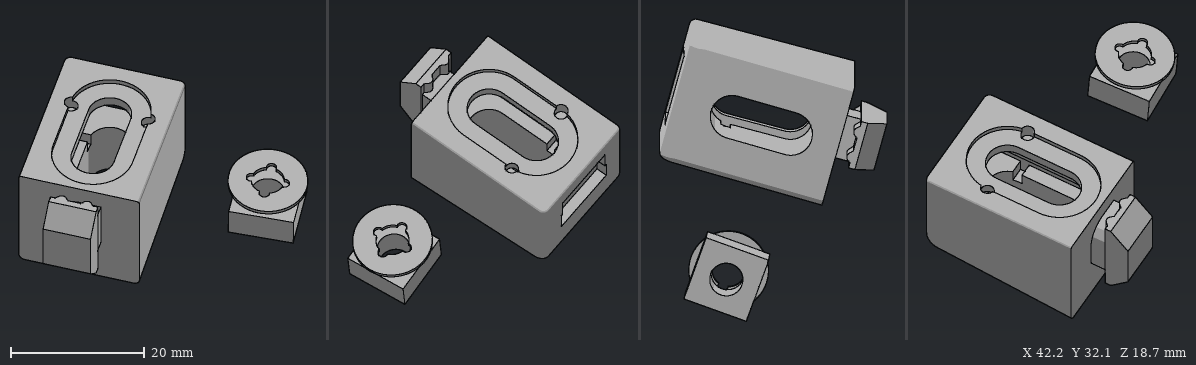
import cadquery as cq
import math


HOUSING_WIDTH = 18.95
HOUSING_LENGTH = 25.5
HOUSING_HEIGHT = 18.55
BOTTOM_SLOPE = 5.0
BACK_BOTTOM_RADIUS = 2.45
SIDE_RADIUS = 1.0
TOP_RADIUS = 0.5

SLOT_CENTRE_Y = 11.98
SLOT_SPAN = 9.02
SLOT_WIDTH = 6.6
RECESS_WIDTH = 12.45
RECESS_DEPTH = 0.8
NOTCH_DIAMETER = 2.05
NOTCH_DEPTH = 2.3
NOTCH_CENTRE_X = 6.05

PLATE_THICKNESS = 1.65
CHANNEL_WIDTH = 10.37
CHANNEL_HEIGHT = 3.65
LOWER_CHANNEL_WIDTH = 10.95
LOWER_CHANNEL_HEIGHT = 1.35
CHANNEL_FRONT_Y = 2.1
FLOOR_BACK_GAP = 1.77
FLOOR_GROOVE_CENTRE_Y = 16.65
FLOOR_GROOVE_WIDTH = 1.5
FLOOR_GROOVE_DEPTH = 2.1

STEM_WIDTH = 6.8
STEM_HEIGHT = 8.0
STEM_TOP_Z = -3.0
HEAD_WIDTH = 7.42
HEAD_HEIGHT = 13.8
HEAD_TOP_Z = -0.13
HEAD_BACK_Y = -2.6
HEAD_FRONT_Y = -6.58
HEAD_CHAMFER = 3.0
RIDGE_CENTRE_X = 2.0
RIDGE_HALF_WIDTH = 1.0
RIDGE_FLANK = 0.5
RIDGE_RISE = 0.7

TILT_X = 2.8
TILT_Y = 1.6
WASHER_TURN = 3.8
WASHER_CENTRE = (26.7, 9.83, -0.5)
WASHER_DIAMETER = 12.0
WASHER_THICKNESS = 0.6
WASHER_HOLE = 4.98
WASHER_NOTCH_COUNT = 4
WASHER_NOTCH_DIAMETER = 1.5
WASHER_NOTCH_RING = 2.55
NUT_TURN = 4.5
NUT_CENTRE = (26.55, 10.1, -5.5)
NUT_SIDE = 10.0
NUT_HEIGHT = 4.98
NUT_HOLE = 4.98


def box(width, y_front, y_back, z_bottom, z_top):
    """Box centred on x = 0 between the given Y and Z limits."""
    return cq.Workplane("XY").box(width, y_back - y_front, z_top - z_bottom).translate(
        (0, (y_front + y_back) / 2, (z_bottom + z_top) / 2)
    )


def slot_cutter(width, z_top, depth):
    """Straight-sided slot along Y with rounded ends, cut down from z_top."""
    return (
        cq.Workplane("XY", origin=(0, SLOT_CENTRE_Y, z_top))
        .slot2D(SLOT_SPAN + width, width, 90)
        .extrude(-depth)
    )


def housing_block():
    """Block with a sloping bottom, rounded everywhere but on the front face."""
    back_height = HOUSING_HEIGHT - HOUSING_LENGTH * math.tan(math.radians(BOTTOM_SLOPE))
    block = (
        cq.Workplane("YZ")
        .polyline([
            (0, 0),
            (HOUSING_LENGTH, 0),
            (HOUSING_LENGTH, -back_height),
            (0, -HOUSING_HEIGHT),
        ])
        .close()
        .extrude(HOUSING_WIDTH / 2, both=True)
    )
    block = block.faces(">Y").edges("<Z").fillet(BACK_BOTTOM_RADIUS)
    block = block.faces("<X or >X").edges("not(<Y or >Z)").fillet(SIDE_RADIUS)
    return block.faces(">Z").edges("not(<Y)").fillet(TOP_RADIUS)


def screw_slot():
    """Slot through the housing, its washer recess and the two round notches."""
    notches = (
        cq.Workplane("XY")
        .pushPoints([(side * NOTCH_CENTRE_X, SLOT_CENTRE_Y + SLOT_SPAN / 2) for side in (-1, 1)])
        .circle(NOTCH_DIAMETER / 2)
        .extrude(-NOTCH_DEPTH)
    )
    through_slot = slot_cutter(SLOT_WIDTH, 0, HOUSING_HEIGHT)
    return through_slot.union(slot_cutter(RECESS_WIDTH, 0, RECESS_DEPTH)).union(notches)


def nut_channel():
    """Stepped channel with a cross groove in its floor."""
    ceiling_z = -RECESS_DEPTH - PLATE_THICKNESS
    step_z = ceiling_z - CHANNEL_HEIGHT
    floor_z = step_z - LOWER_CHANNEL_HEIGHT
    groove_z = floor_z - FLOOR_GROOVE_DEPTH
    groove_front = FLOOR_GROOVE_CENTRE_Y - FLOOR_GROOVE_WIDTH / 2
    groove_back = groove_front + FLOOR_GROOVE_WIDTH
    floor_back = HOUSING_LENGTH - FLOOR_BACK_GAP

    upper = box(CHANNEL_WIDTH, CHANNEL_FRONT_Y, HOUSING_LENGTH, step_z, ceiling_z)
    lower = box(LOWER_CHANNEL_WIDTH, CHANNEL_FRONT_Y, HOUSING_LENGTH, floor_z, step_z)
    groove = box(LOWER_CHANNEL_WIDTH, groove_front, groove_back, groove_z, floor_z)
    back_step = box(LOWER_CHANNEL_WIDTH, floor_back, HOUSING_LENGTH, groove_z, floor_z)
    return upper.union(lower).union(groove).union(back_step)


def stem():
    """Neck between housing and head, with one quarter-round upper corner."""
    neck = box(STEM_WIDTH, HEAD_BACK_Y, 0, STEM_TOP_Z - STEM_HEIGHT, STEM_TOP_Z)
    return neck.edges("|Y and <X and >Z").fillet(STEM_WIDTH / 2)


def ridge(centre_x):
    """Vertical gripping ridge with 45 degree flanks and a rounded crest."""
    shoulder_x = RIDGE_HALF_WIDTH - RIDGE_FLANK
    return (
        cq.Workplane("XY", origin=(centre_x, HEAD_BACK_Y, HEAD_TOP_Z))
        .moveTo(-RIDGE_HALF_WIDTH, 0)
        .lineTo(-shoulder_x, RIDGE_FLANK)
        .threePointArc((0, RIDGE_RISE), (shoulder_x, RIDGE_FLANK))
        .lineTo(RIDGE_HALF_WIDTH, 0)
        .close()
        .extrude(-HEAD_HEIGHT)
    )


def clamp_head():
    """Head with chamfered front edges and two ridges on its back."""
    head = box(HEAD_WIDTH, HEAD_FRONT_Y, HEAD_BACK_Y, HEAD_TOP_Z - HEAD_HEIGHT, HEAD_TOP_Z)
    head = head.faces("<Y").edges("|X").chamfer(HEAD_CHAMFER)
    for side in (-1, 1):
        head = head.union(ridge(side * RIDGE_CENTRE_X))
    return head


def place_tilted(body, turn, centre):
    """Turn and tilt a body built around the origin, then move it to its centre."""
    return (
        body.rotate((0, 0, 0), (0, 0, 1), turn)
        .rotate((0, 0, 0), (1, 0, 0), TILT_X)
        .rotate((0, 0, 0), (0, 1, 0), TILT_Y)
        .translate(centre)
    )


def make_housing():
    """Housing with its stem and clamp head, all one body."""
    block = housing_block().cut(screw_slot()).cut(nut_channel())
    return block.union(stem()).union(clamp_head())


def make_washer():
    """Thin washer whose hole has four round notches."""
    notches = (
        cq.Workplane("XY")
        .polarArray(WASHER_NOTCH_RING, 0, 360, WASHER_NOTCH_COUNT)
        .circle(WASHER_NOTCH_DIAMETER / 2)
        .extrude(WASHER_THICKNESS / 2, both=True)
    )
    disc = (
        cq.Workplane("XY")
        .circle(WASHER_DIAMETER / 2)
        .circle(WASHER_HOLE / 2)
        .extrude(WASHER_THICKNESS / 2, both=True)
    )
    return place_tilted(disc.cut(notches), WASHER_TURN, WASHER_CENTRE)


def make_nut():
    """Square nut with a plain hole."""
    nut = (
        cq.Workplane("XY")
        .rect(NUT_SIDE, NUT_SIDE)
        .circle(NUT_HOLE / 2)
        .extrude(NUT_HEIGHT / 2, both=True)
    )
    return place_tilted(nut, NUT_TURN, NUT_CENTRE)


housing = make_housing()
washer = make_washer()
nut = make_nut()

result = cq.Compound.makeCompound([housing.val(), washer.val(), nut.val()])